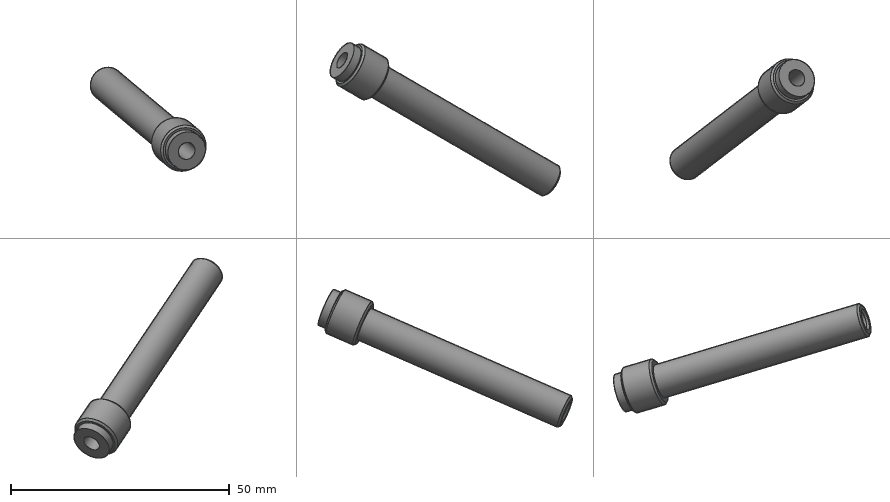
import cadquery as cq

total_length = 60.3
shaft_diameter = 7.9
collar_diameter = 10.9
spigot_diameter = 9.0
bore_diameter = 4.0
collar_length = 7.65
spigot_length = 2.0
edge_chamfer = 0.5

collar_start = total_length - spigot_length - collar_length


def cylinder_along_x(start, length, diameter):
    """Solid cylinder on the X axis, starting at the given X position."""
    return cq.Workplane("YZ").workplane(offset=start).circle(diameter / 2).extrude(length)


shaft = cylinder_along_x(0, total_length, shaft_diameter).faces("<X").chamfer(edge_chamfer)

collar = cylinder_along_x(collar_start, collar_length, collar_diameter)
collar = collar.faces("<X or >X").chamfer(edge_chamfer)

spigot = cylinder_along_x(total_length - spigot_length, spigot_length, spigot_diameter)

bore = cylinder_along_x(0, total_length, bore_diameter)
lead_in = (
    cq.Workplane("YZ")
    .circle(bore_diameter / 2 + edge_chamfer)
    .workplane(offset=edge_chamfer)
    .circle(bore_diameter / 2)
    .loft()
)

body = shaft.union(collar).union(spigot)
result = body.cut(bore).cut(lead_in)

result = result.translate((-total_length / 2, 0, 0))